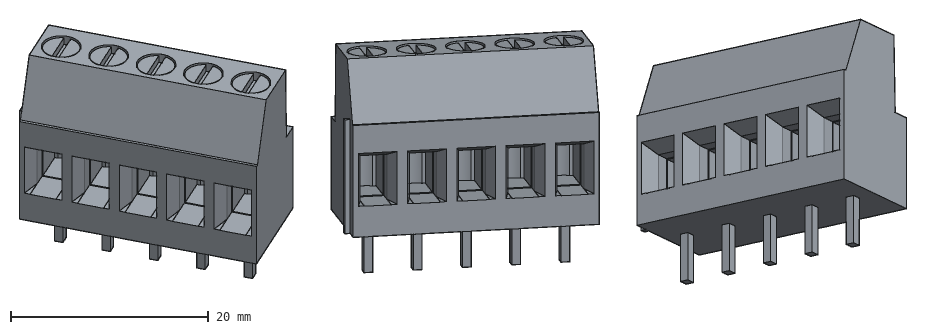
import cadquery as cq


overall_length = 25.97
rib_projection = 0.55
body_length = overall_length - rib_projection
terminal_count = 5
pitch = body_length / terminal_count
terminal_positions = [(i - (terminal_count - 1) / 2) * pitch for i in range(terminal_count)]

body_depth = 11.2
body_height = 17.95
lip_depth = 0.3
lip_height = 11.75
top_front = 2.95
top_back = 8.93
ledge_front = 9.17
ledge_height = 9.75

rib_center = 1.87
rib_height = 11.95
rib_outer_width = 0.68
rib_root_width = 0.45

screw_center = 5.53
screw_hole_diameter = 4.0
screw_head_diameter = 3.8
screw_head_recess = 0.15
screw_slot_width = 0.73
screw_slot_depth = 0.78
screw_hole_depth = 1.1

mouth_width = 4.0
mouth_bottom = 3.25
mouth_top = 8.78
throat_width = 2.78
throat_top = 7.95
floor_step = 0.03
throat_floor = mouth_bottom - floor_step
funnel_depth = 2.15
throat_depth = 3.64
cage_inset = 0.1
cage_width = throat_width - 2 * cage_inset
cage_bottom = throat_floor + cage_inset
cage_top = throat_top - cage_inset

hollow_width = 1.85
hollow_radius = screw_head_diameter / 2
cage_back = screw_center + (hollow_radius**2 - (hollow_width / 2) ** 2) ** 0.5

pin_width = 0.9
pin_thickness = 1.05
pin_length = 5.06
pin_center = 5.27


def box_between(width, y_start, y_end, z_start, z_end):
    """Box centred on X = 0 that spans the given Y and Z ranges."""
    return (
        cq.Workplane("XY")
        .box(width, y_end - y_start, z_end - z_start, centered=(True, False, False))
        .translate((0, y_start, z_start))
    )


def housing():
    profile = [
        (0, 0),
        (body_depth, 0),
        (body_depth, ledge_height),
        (ledge_front, ledge_height),
        (top_back, body_height),
        (top_front, body_height),
        (lip_depth, lip_height),
        (0, lip_height),
    ]
    return cq.Workplane("YZ").polyline(profile).close().extrude(body_length / 2, both=True)


def dovetail_rib():
    root_x = -body_length / 2
    outer_x = root_x - rib_projection
    section = [
        (root_x, rib_center - rib_root_width / 2),
        (root_x, rib_center + rib_root_width / 2),
        (outer_x, rib_center + rib_outer_width / 2),
        (outer_x, rib_center - rib_outer_width / 2),
    ]
    return cq.Workplane("XY").polyline(section).close().extrude(rib_height)


def screw_recess():
    """Round hole around the screw head, less the slotted head that stands in it."""
    hole_floor = body_height - screw_hole_depth
    head_top = body_height - screw_head_recess
    center = cq.Workplane("XY", origin=(0, screw_center, hole_floor))
    hole = center.circle(screw_hole_diameter / 2).extrude(screw_hole_depth)
    head = center.circle(screw_head_diameter / 2).extrude(head_top - hole_floor)
    slot = box_between(
        screw_slot_width,
        screw_center - screw_head_diameter / 2,
        screw_center + screw_head_diameter / 2,
        head_top - screw_slot_depth,
        head_top,
    )
    return hole.cut(head.cut(slot))


def funnel():
    """Mouth that narrows at the sides and top while its floor stays level."""
    mouth_height = mouth_top - mouth_bottom
    throat_height = throat_top - mouth_bottom
    return (
        cq.Workplane("XZ")
        .center(0, mouth_bottom + mouth_height / 2)
        .rect(mouth_width, mouth_height)
        .workplane(offset=-funnel_depth)
        .center(0, (throat_height - mouth_height) / 2)
        .rect(throat_width, throat_height)
        .loft(ruled=True)
    )


def wire_entry():
    throat = box_between(throat_width, 0, throat_depth, throat_floor, throat_top)
    cage = box_between(cage_width, throat_depth, cage_back, cage_bottom, cage_top)
    hollow = (
        cq.Workplane("XY", origin=(0, 0, cage_bottom))
        .moveTo(-hollow_width / 2, cage_back)
        .threePointArc((0, screw_center + hollow_radius), (hollow_width / 2, cage_back))
        .close()
        .extrude(cage_top - cage_bottom)
    )
    return funnel().union(throat).union(cage).union(hollow)


def solder_pin():
    return box_between(
        pin_width,
        pin_center - pin_thickness / 2,
        pin_center + pin_thickness / 2,
        -pin_length,
        0,
    )


result = housing().union(dovetail_rib())
terminal_cuts = screw_recess().union(wire_entry())
for x in terminal_positions:
    result = result.cut(terminal_cuts.translate((x, 0, 0)))
    result = result.union(solder_pin().translate((x, 0, 0)))